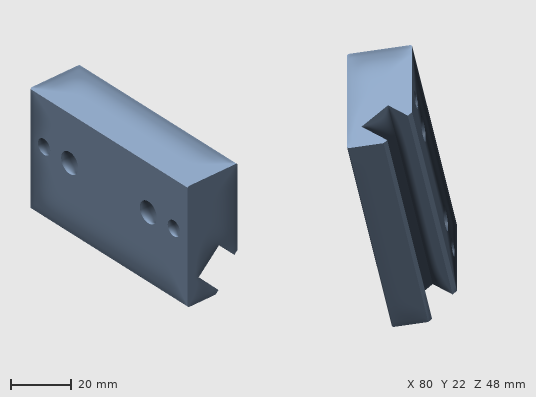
import cadquery as cq

length = 80.0
depth = 22.0
height = 48.0
edge_chamfer = 0.5

groove_root_y = 4.9
groove_root_z = 10.0
groove_rise = 9.0
lower_lip_bevel = 1.3
back_lip_bevel = 1.4

hole_height = 28.0
large_hole_diameter = 8.6
large_hole_spacing = 40.0
small_hole_diameter = 6.2
small_hole_spacing = 66.0


def block_with_groove():
    """Extrude the YZ outline of the block along X."""
    groove_top_y = groove_root_y + groove_rise
    groove_top_z = groove_root_z + groove_rise
    lower_exit_y = groove_root_y + groove_root_z
    back_exit_z = groove_top_z - (depth - groove_top_y)
    outline = [
        (edge_chamfer, 0),
        (lower_exit_y - 2 * lower_lip_bevel, 0),
        (lower_exit_y - lower_lip_bevel, lower_lip_bevel),
        (groove_root_y, groove_root_z),
        (groove_top_y, groove_top_z),
        (depth - back_lip_bevel, back_exit_z + back_lip_bevel),
        (depth, back_exit_z + 2 * back_lip_bevel),
        (depth, height - edge_chamfer),
        (depth - edge_chamfer, height),
        (edge_chamfer, height),
        (0, height - edge_chamfer),
        (0, edge_chamfer),
    ]
    return cq.Workplane("YZ").polyline(outline).close().extrude(length)


def hole_pair(spacing, diameter):
    """Two cylinders running through the full depth."""
    middle = length / 2
    centers = [(middle + side * spacing / 2, hole_height) for side in (-1, 1)]
    return cq.Workplane("XZ").pushPoints(centers).circle(diameter / 2).extrude(-depth)


result = (
    block_with_groove()
    .cut(hole_pair(large_hole_spacing, large_hole_diameter))
    .cut(hole_pair(small_hole_spacing, small_hole_diameter))
)